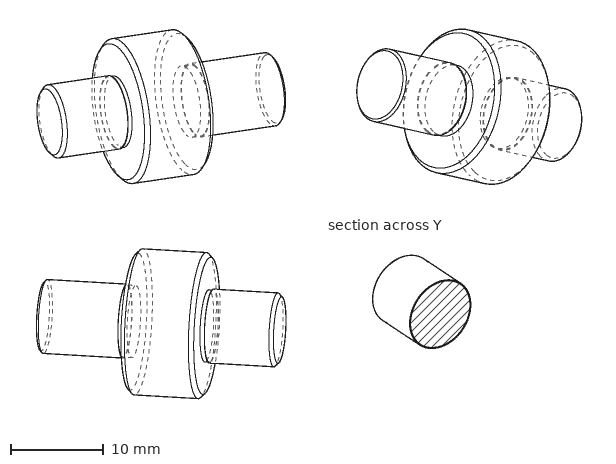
import cadquery as cq

total_length = 26.0
collar_diameter = 15.8
collar_length = 8.0
collar_chamfer = 0.5
journal_diameter = 8.0
neck_diameter = 7.8

front_length = 8.0
front_neck_length = 0.5
front_chamfer = 0.42

back_length = total_length - front_length - collar_length
back_neck_length = 1.0
back_chamfer = 0.25

front_end = -total_length / 2
collar_front = front_end + front_length
collar_back = collar_front + collar_length


def cylinder(diameter, start, length):
    """Solid cylinder along +Y, beginning at Y = start."""
    return cq.Workplane("XZ", origin=(0, start, 0)).circle(diameter / 2).extrude(-length)


collar = cylinder(collar_diameter, collar_front, collar_length).edges().chamfer(collar_chamfer)

front_journal = cylinder(journal_diameter, front_end, front_length - front_neck_length)
front_journal = front_journal.faces("<Y").chamfer(front_chamfer)

back_journal = cylinder(journal_diameter, collar_back + back_neck_length, back_length - back_neck_length)
back_journal = back_journal.faces(">Y").chamfer(back_chamfer)

front_neck = cylinder(neck_diameter, collar_front - front_neck_length, front_neck_length)
back_neck = cylinder(neck_diameter, collar_back, back_neck_length)

result = collar.union(front_neck).union(back_neck).union(front_journal).union(back_journal)